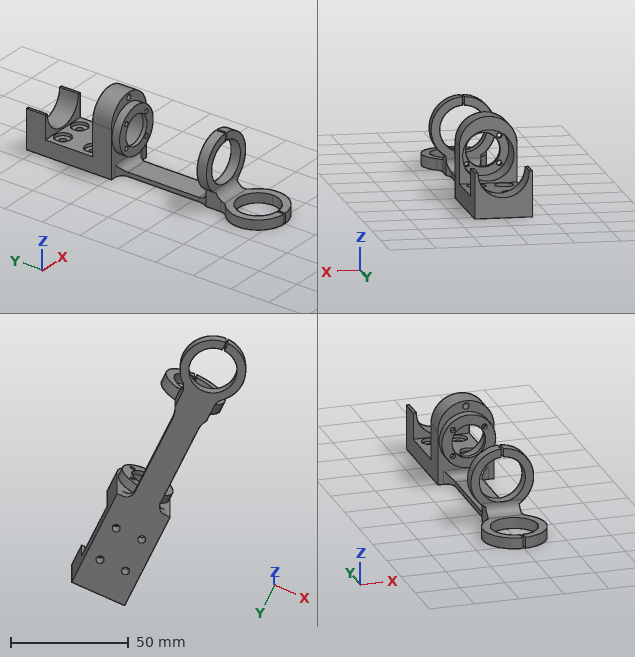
import cadquery as cq
import math


RING_OUTER_RADIUS = 14.0
RING_INNER_RADIUS = 10.25
RING_THICKNESS = 5.0
RING_SLIT = 1.0
UPRIGHT_FRONT_Y = 17.0
UPRIGHT_BACK_Y = UPRIGHT_FRONT_Y + RING_THICKNESS

NECK_HALF_WIDTH = 7.5
NECK_FILLET = 5.0

AXIS_Z = 20.0

BLOCK_WIDTH = 25.0
BLOCK_LENGTH = 45.0
BLOCK_FRONT_Y = 68.5
BLOCK_BACK_Y = BLOCK_FRONT_Y + BLOCK_LENGTH
WALL_THICKNESS = 10.0
FLOOR_Z = 8.0
HUB_TOP_Z = 37.0
MOTOR_DIAMETER = 22.25

FLANGE_DIAMETER = 24.0
FLANGE_LENGTH = 4.0
FLANGE_FRONT_Y = BLOCK_FRONT_Y - FLANGE_LENGTH
FACE_THICKNESS = 2.0
SHAFT_BORE_DIAMETER = 15.0
FACE_SCREW_DIAMETER = 2.2
FACE_SCREW_RADIUS = 9.25
FACE_SCREW_ANGLE = 40.0

PIN_DIAMETER = 2.8
PIN_Z = 34.6
PIN_DEPTH = 5.0

MOUNT_DIAMETER = 3.33
MOUNT_HEAD_DIAMETER = 8.0
MOUNT_HEAD_DEPTH = 1.5
MOUNT_SPACING_X = 12.0
MOUNT_SPACING_Y = 16.0

ARM_HALF_WIDTH = 6.0
ARM_THICKNESS = 2.2
ARM_BLOCK_FILLET = 4.0
ARM_RING_FILLET = 5.0


def box(x_min, x_max, y_min, y_max, z_min, z_max):
    """Box between opposite corners."""
    size = (x_max - x_min, y_max - y_min, z_max - z_min)
    return cq.Workplane("XY").box(*size, centered=False).translate((x_min, y_min, z_min))


def rod(diameter, y_min, y_max, x=0.0, z=AXIS_Z):
    """Cylinder lying along Y."""
    plane = cq.Workplane("XZ", origin=(x, y_min, z))
    return plane.circle(diameter / 2).extrude(y_min - y_max)


def point_on_circle(center, radius, degrees):
    """Point on a circle at the given angle."""
    angle = math.radians(degrees)
    return (center[0] + radius * math.cos(angle), center[1] + radius * math.sin(angle))


def flat_ring_prism(height):
    """Outline of the flat ring, blended into the sides of the neck, raised to a height."""
    fillet_x = NECK_HALF_WIDTH + NECK_FILLET
    center_distance = RING_OUTER_RADIUS + NECK_FILLET
    fillet_y = math.sqrt(center_distance**2 - fillet_x**2)
    touch_x = fillet_x * RING_OUTER_RADIUS / center_distance
    touch_y = fillet_y * RING_OUTER_RADIUS / center_distance
    middle_angle = 180 + math.degrees(math.atan2(fillet_y, fillet_x)) / 2
    middle_x, middle_y = point_on_circle((fillet_x, fillet_y), NECK_FILLET, middle_angle)
    return (
        cq.Workplane("XY")
        .moveTo(NECK_HALF_WIDTH, UPRIGHT_BACK_Y)
        .lineTo(NECK_HALF_WIDTH, fillet_y)
        .threePointArc((middle_x, middle_y), (touch_x, touch_y))
        .threePointArc((0, -RING_OUTER_RADIUS), (-touch_x, touch_y))
        .threePointArc((-middle_x, middle_y), (-NECK_HALF_WIDTH, fillet_y))
        .lineTo(-NECK_HALF_WIDTH, UPRIGHT_BACK_Y)
        .close()
        .extrude(height)
    )


def make_rings():
    """Both clamp rings, the neck and the fillet in the corner between them."""
    flat = flat_ring_prism(RING_THICKNESS)
    upright = rod(2 * RING_OUTER_RADIUS, UPRIGHT_FRONT_Y, UPRIGHT_BACK_Y)
    foot = box(-NECK_HALF_WIDTH, NECK_HALF_WIDTH, UPRIGHT_FRONT_Y, UPRIGHT_BACK_Y, 0, AXIS_Z)

    fillet_front_y = UPRIGHT_FRONT_Y - NECK_FILLET
    fillet_top_z = RING_THICKNESS + NECK_FILLET
    corner_round = (
        cq.Workplane("YZ", origin=(-RING_OUTER_RADIUS, fillet_front_y, fillet_top_z))
        .circle(NECK_FILLET)
        .extrude(2 * RING_OUTER_RADIUS)
    )
    corner = box(
        -RING_OUTER_RADIUS, RING_OUTER_RADIUS,
        fillet_front_y, UPRIGHT_FRONT_Y,
        RING_THICKNESS, fillet_top_z,
    ).cut(corner_round)
    upright_outline = rod(2 * RING_OUTER_RADIUS, fillet_front_y, UPRIGHT_FRONT_Y)
    corner_over_neck = corner.intersect(flat_ring_prism(fillet_top_z))
    corner_under_ring = corner.intersect(upright_outline)

    body = flat.union(upright).union(foot).union(corner_over_neck).union(corner_under_ring)
    flat_hole = cq.Workplane("XY").circle(RING_INNER_RADIUS).extrude(RING_THICKNESS)
    upright_hole = rod(2 * RING_INNER_RADIUS, UPRIGHT_FRONT_Y, UPRIGHT_BACK_Y)
    half_slit = RING_SLIT / 2
    flat_slit = box(-half_slit, half_slit, -RING_OUTER_RADIUS, 0, 0, RING_THICKNESS)
    upright_top_z = AXIS_Z + RING_OUTER_RADIUS
    upright_slit = box(-half_slit, half_slit, UPRIGHT_FRONT_Y, UPRIGHT_BACK_Y, AXIS_Z, upright_top_z)
    return body.cut(flat_hole).cut(upright_hole).cut(flat_slit).cut(upright_slit)


def make_arm():
    """Flat arm that thickens and widens in curves at both ends."""
    block_start_y = BLOCK_FRONT_Y - ARM_BLOCK_FILLET
    ring_start_y = UPRIGHT_BACK_Y + ARM_RING_FILLET
    diagonal = math.sqrt(0.5)
    block_rise = ARM_BLOCK_FILLET * (1 - diagonal)
    block_run = ARM_BLOCK_FILLET * diagonal
    ring_rise = ARM_RING_FILLET * (1 - diagonal)
    ring_run = ARM_RING_FILLET * diagonal
    side = (
        cq.Workplane("YZ")
        .moveTo(UPRIGHT_BACK_Y, 0)
        .lineTo(BLOCK_FRONT_Y, 0)
        .lineTo(BLOCK_FRONT_Y, ARM_THICKNESS + ARM_BLOCK_FILLET)
        .threePointArc((block_start_y + block_run, ARM_THICKNESS + block_rise), (block_start_y, ARM_THICKNESS))
        .lineTo(ring_start_y, ARM_THICKNESS)
        .threePointArc((ring_start_y - ring_run, ARM_THICKNESS + ring_rise),
                       (UPRIGHT_BACK_Y, ARM_THICKNESS + ARM_RING_FILLET))
        .close()
        .extrude(BLOCK_WIDTH / 2, both=True)
    )
    half_plan = (
        cq.Workplane("XY")
        .moveTo(0, BLOCK_FRONT_Y)
        .lineTo(ARM_HALF_WIDTH + ARM_BLOCK_FILLET, BLOCK_FRONT_Y)
        .threePointArc((ARM_HALF_WIDTH + block_rise, block_start_y + block_run), (ARM_HALF_WIDTH, block_start_y))
        .lineTo(ARM_HALF_WIDTH, ring_start_y)
        .tangentArcPoint((NECK_HALF_WIDTH, UPRIGHT_BACK_Y), relative=False)
        .lineTo(0, UPRIGHT_BACK_Y)
        .close()
        .extrude(AXIS_Z)
    )
    return side.intersect(half_plan.union(half_plan.mirror("YZ")))


def mount_holes(diameter, center_y, bottom_z):
    """Grid of four upright cylinders reaching from a given height to the floor top."""
    return (
        cq.Workplane("XY", origin=(0, center_y, bottom_z))
        .rarray(MOUNT_SPACING_X, MOUNT_SPACING_Y, 2, 2)
        .circle(diameter / 2)
        .extrude(FLOOR_Z - bottom_z)
    )


def make_block():
    """Motor block with a rounded hub in front and an open cradle behind."""
    half_width = BLOCK_WIDTH / 2
    hub_back_y = BLOCK_FRONT_Y + WALL_THICKNESS
    cradle_front_y = BLOCK_BACK_Y - WALL_THICKNESS
    hub_arc_z = HUB_TOP_Z - half_width

    floor = box(-half_width, half_width, BLOCK_FRONT_Y, BLOCK_BACK_Y, 0, FLOOR_Z)
    hub = box(-half_width, half_width, BLOCK_FRONT_Y, hub_back_y, 0, hub_arc_z)
    hub_top = rod(BLOCK_WIDTH, BLOCK_FRONT_Y, hub_back_y, z=hub_arc_z)
    cradle = box(-half_width, half_width, cradle_front_y, BLOCK_BACK_Y, 0, AXIS_Z)
    flange = rod(FLANGE_DIAMETER, FLANGE_FRONT_Y, BLOCK_FRONT_Y)
    block = floor.union(hub).union(hub_top).union(cradle).union(flange)

    block = block.cut(rod(MOTOR_DIAMETER, FLANGE_FRONT_Y + FACE_THICKNESS, BLOCK_BACK_Y))
    block = block.cut(rod(SHAFT_BORE_DIAMETER, FLANGE_FRONT_Y, hub_back_y))
    for angle in (FACE_SCREW_ANGLE, 180 - FACE_SCREW_ANGLE, 180 + FACE_SCREW_ANGLE, -FACE_SCREW_ANGLE):
        x, z = point_on_circle((0, AXIS_Z), FACE_SCREW_RADIUS, angle)
        block = block.cut(rod(FACE_SCREW_DIAMETER, FLANGE_FRONT_Y, hub_back_y, x, z))
    block = block.cut(rod(PIN_DIAMETER, BLOCK_FRONT_Y, BLOCK_FRONT_Y + PIN_DEPTH, z=PIN_Z))

    mount_center_y = (hub_back_y + cradle_front_y) / 2
    block = block.cut(mount_holes(MOUNT_DIAMETER, mount_center_y, 0))
    return block.cut(mount_holes(MOUNT_HEAD_DIAMETER, mount_center_y, FLOOR_Z - MOUNT_HEAD_DEPTH))


result = make_block().union(make_arm()).union(make_rings())